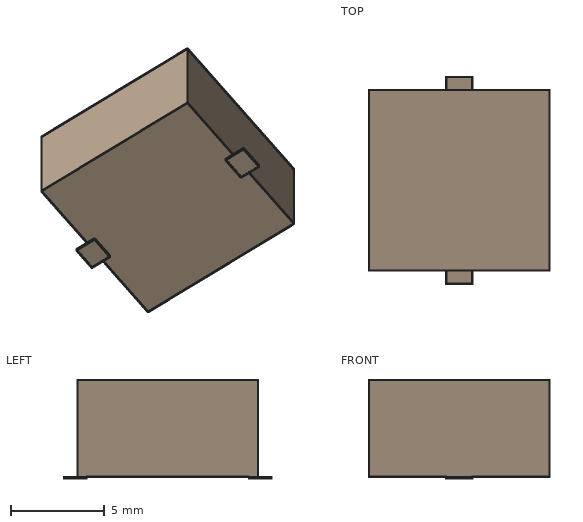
import cadquery as cq

overall_length = 11.1
overall_height = 5.3
housing_side = 9.7

lead_thickness = 0.1
lead_width = 1.4
lead_length = 1.2

housing_height = overall_height - lead_thickness


def make_housing():
    """Plain square block resting on top of the leads."""
    return (
        cq.Workplane("XY")
        .workplane(offset=lead_thickness)
        .rect(housing_side, housing_side)
        .extrude(housing_height)
    )


def make_lead(side):
    """Flat lead reaching out from under the housing; side is -1 or +1 along Y."""
    center_y = side * (overall_length - lead_length) / 2
    return (
        cq.Workplane("XY")
        .center(0, center_y)
        .rect(lead_width, lead_length)
        .extrude(lead_thickness)
    )


housing = make_housing()
leads = [make_lead(side) for side in (-1, 1)]

result = cq.Compound.makeCompound([housing.val(), *[lead.val() for lead in leads]])